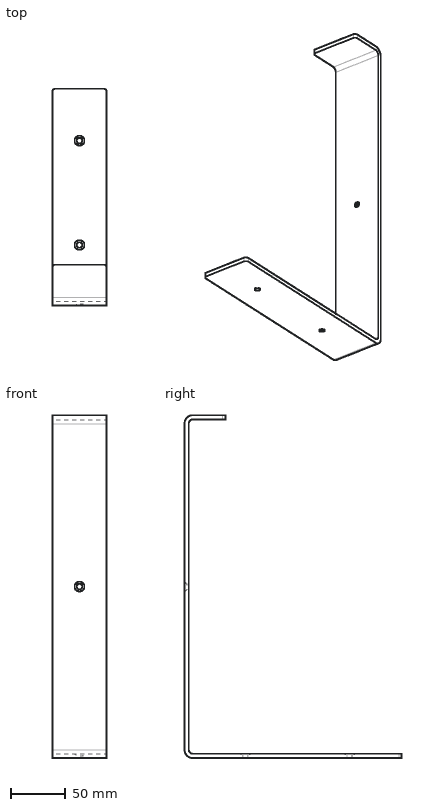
import cadquery as cq

width = 50.0
depth = 200.0
height = 316.0
thickness = 4.0
top_flange_length = 38.0

outer_bend_radius = 8.0
inner_bend_radius = outer_bend_radius - thickness
corner_radius = 3.0

hole_diameter = 5.0
countersink_diameter = 9.2
countersink_angle = 90
wall_hole_height = height / 2
base_hole_positions = (56.0, 152.0)


def make_strap():
    """Bend a flat strap: long base, upright wall and short top flange."""
    profile = (
        cq.Workplane("YZ")
        .moveTo(depth, 0)
        .lineTo(0, 0)
        .lineTo(0, height)
        .lineTo(top_flange_length, height)
        .lineTo(top_flange_length, height - thickness)
        .lineTo(thickness, height - thickness)
        .lineTo(thickness, thickness)
        .lineTo(depth, thickness)
        .close()
    )
    strap = profile.extrude(width / 2, both=True)
    outer_bends = cq.selectors.BoxSelector(
        (-width, -thickness / 2, -thickness), (width, thickness / 2, height + thickness)
    )
    inner_bends = cq.selectors.BoxSelector(
        (-width, thickness / 2, thickness / 2),
        (width, 3 * thickness / 2, height - thickness / 2),
    )
    strap = strap.edges("|X").edges(outer_bends).fillet(outer_bend_radius)
    return strap.edges("|X").edges(inner_bends).fillet(inner_bend_radius)


def round_flange_corners(strap):
    """Round the two free corners of the base and of the top flange."""
    top_end = cq.selectors.BoxSelector(
        (-width, top_flange_length - thickness, height - 2 * thickness),
        (width, top_flange_length + thickness, height + thickness),
    )
    strap = strap.faces(">Y").edges("|Z").fillet(corner_radius)
    return strap.edges("|Z").edges(top_end).fillet(corner_radius)


def drill_base_holes(strap):
    """Drill the base, countersunk from its upper side."""
    return (
        strap.copyWorkplane(cq.Workplane("XY", origin=(0, 0, thickness)))
        .pushPoints([(0, y) for y in base_hole_positions])
        .cskHole(hole_diameter, countersink_diameter, countersink_angle, depth=2 * thickness)
    )


def drill_wall_hole(strap):
    """Drill the wall at mid-height, countersunk from its outer side."""
    return (
        strap.copyWorkplane(cq.Workplane("XZ"))
        .center(0, wall_hole_height)
        .cskHole(hole_diameter, countersink_diameter, countersink_angle, depth=2 * thickness)
    )


strap = make_strap()
strap = round_flange_corners(strap)
strap = drill_base_holes(strap)
result = drill_wall_hole(strap)